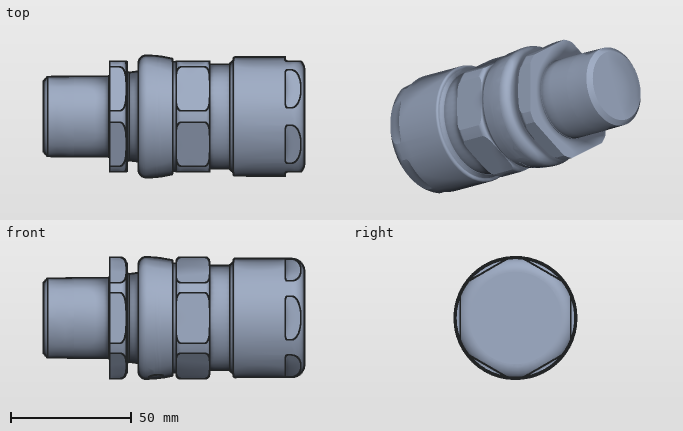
import cadquery as cq
import math

overall_length = 108.3

across_flats = 45.9
flat_count = 6
hexagon_corner_diameter = 50.5

nose_diameter = 29.1
nose_chamfer_length = 1.7
taper_start_diameter = 33.1
taper_end = 12.8
spigot_diameter = 33.5
collar_diameter = 33.9
collar_length = 0.4
entry_hexagon_start = 27.5
entry_hexagon_end = 34.3
entry_hexagon_round = 2.6
washer_face_diameter = 45.5
washer_face_end = 34.8
shank_relief_end = 35.6
shank_relief_diameter = 37.0
flare_start_diameter = 36.6
shank_diameter = 37.6

ring_start = 39.3
ring_crown_start = 42.8
ring_crown_end = 52.8
ring_end = 53.6
ring_diameter = 50.8
ring_rear_diameter = 48.3
ring_front_round = ring_crown_start - ring_start
ring_rear_round = ring_end - ring_crown_end
label_center = 46.7
label_width = 6.1
label_length = 17.4
label_depth = 0.1

neck_diameter = 45.5
middle_hexagon_start = 55.0
middle_hexagon_end = 68.9
middle_hexagon_round = 2.0
carrier_diameter = 43.5

lip_start = 77.3
lip_start_diameter = 44.0
lip_end_diameter = 46.4
nut_start = 78.7
nut_diameter = 49.4
nut_front_round = 0.9
nut_rear_round = 5.5
spanner_flat_start = 100.1
spanner_flat_round = 1.0


def revolve_about_x(outline):
    """Turn an outline drawn as (x, radius) once around the X axis."""
    return outline.close().revolve(360, (0, 0, 0), (1, 0, 0))


def cylinder(diameter, start, end):
    """Cylinder on the X axis between two x positions."""
    return cq.Workplane("YZ", origin=(start, 0, 0)).circle(diameter / 2).extrude(end - start)


def hexagon(start, end):
    """Hexagonal prism with flats on -Y and +Y."""
    across_corners = across_flats / math.cos(math.pi / flat_count)
    prism = cq.Workplane("YZ", origin=(start, 0, 0)).polygon(flat_count, across_corners)
    return prism.extrude(end - start).rotate((0, 0, 0), (1, 0, 0), 180 / flat_count)


def trimmed_hexagon(start, end, edge_round, rounded_ends):
    """Hexagon whose corners are trimmed by a cylinder rounded at the selected ends."""
    trim = cylinder(hexagon_corner_diameter, start, end).faces(rounded_ends).edges().fillet(edge_round)
    return hexagon(start, end).intersect(trim)


def make_entry_body():
    core = revolve_about_x(
        cq.Workplane("XY")
        .moveTo(0, 0)
        .lineTo(0, nose_diameter / 2)
        .lineTo(nose_chamfer_length, taper_start_diameter / 2)
        .lineTo(taper_end, spigot_diameter / 2)
        .lineTo(entry_hexagon_start - collar_length, spigot_diameter / 2)
        .lineTo(entry_hexagon_start - collar_length, collar_diameter / 2)
        .lineTo(entry_hexagon_end, collar_diameter / 2)
        .lineTo(entry_hexagon_end, washer_face_diameter / 2)
        .lineTo(washer_face_end, washer_face_diameter / 2)
        .lineTo(washer_face_end, shank_relief_diameter / 2)
        .lineTo(shank_relief_end, flare_start_diameter / 2)
        .lineTo(ring_start, shank_diameter / 2)
        .lineTo(ring_end, shank_diameter / 2)
        .lineTo(ring_end, 0)
    )
    nut = trimmed_hexagon(entry_hexagon_start, entry_hexagon_end, entry_hexagon_round, ">X")
    return core.union(nut)


def make_label_prism():
    """Obround prism through the underside of the ring's crown, long across the axis."""
    crown_radius = ring_diameter / 2
    return (
        cq.Workplane("XY", origin=(label_center, 0, -crown_radius))
        .slot2D(label_length, label_width, 90)
        .extrude((ring_diameter - shank_diameter) / 4)
    )


def make_ring_outline(inset):
    """Barrel profile as (x, radius), moved inward by the inset."""
    crown_radius = ring_diameter / 2 - inset
    rear_radius = ring_rear_diameter / 2 - inset
    return (
        cq.Workplane("XY")
        .moveTo(ring_start, shank_diameter / 2)
        .lineTo(ring_start, crown_radius - ring_front_round)
        .radiusArc((ring_crown_start, crown_radius), ring_front_round)
        .tangentArcPoint((ring_crown_end, rear_radius), relative=False)
        .radiusArc((ring_end, rear_radius - ring_rear_round), ring_rear_round)
        .lineTo(ring_end, shank_diameter / 2)
    )


def make_seal_ring():
    ring = revolve_about_x(make_ring_outline(0))
    recess_floor = revolve_about_x(make_ring_outline(label_depth))
    label_recess = make_label_prism().cut(recess_floor)
    return ring.cut(label_recess)


def make_middle_body():
    neck = cylinder(neck_diameter, ring_end, middle_hexagon_start)
    nut = trimmed_hexagon(middle_hexagon_start, middle_hexagon_end, middle_hexagon_round, "<X or >X")
    carrier = cylinder(carrier_diameter, middle_hexagon_end, spanner_flat_start)
    return neck.union(nut).union(carrier)


def make_spanner_flat_cutter():
    """Material outside a hexagon, with a round where the flats meet the nut's cylinder."""
    hexagon_core = hexagon(spanner_flat_start, overall_length)
    tool = cylinder(2 * nut_diameter, spanner_flat_start, overall_length).cut(hexagon_core)
    inner_front_edges = tool.faces("<X").edges("not %CIRCLE")
    return tool.newObject(inner_front_edges.vals()).fillet(spanner_flat_round)


def make_back_nut():
    lip = revolve_about_x(
        cq.Workplane("XY")
        .moveTo(lip_start, 0)
        .lineTo(lip_start, lip_start_diameter / 2)
        .lineTo(nut_start, lip_end_diameter / 2)
        .lineTo(nut_start, 0)
    )
    barrel = (
        cylinder(nut_diameter, nut_start, overall_length)
        .faces("<X").edges().fillet(nut_front_round)
        .faces(">X").edges().fillet(nut_rear_round)
    )
    socket = cylinder(carrier_diameter, lip_start, spanner_flat_start)
    return barrel.cut(make_spanner_flat_cutter()).union(lip).cut(socket)


entry_body = make_entry_body()
seal_ring = make_seal_ring()
middle_body = make_middle_body()
back_nut = make_back_nut()

result = cq.Compound.makeCompound(
    [entry_body.val(), seal_ring.val(), middle_body.val(), back_nut.val()]
)